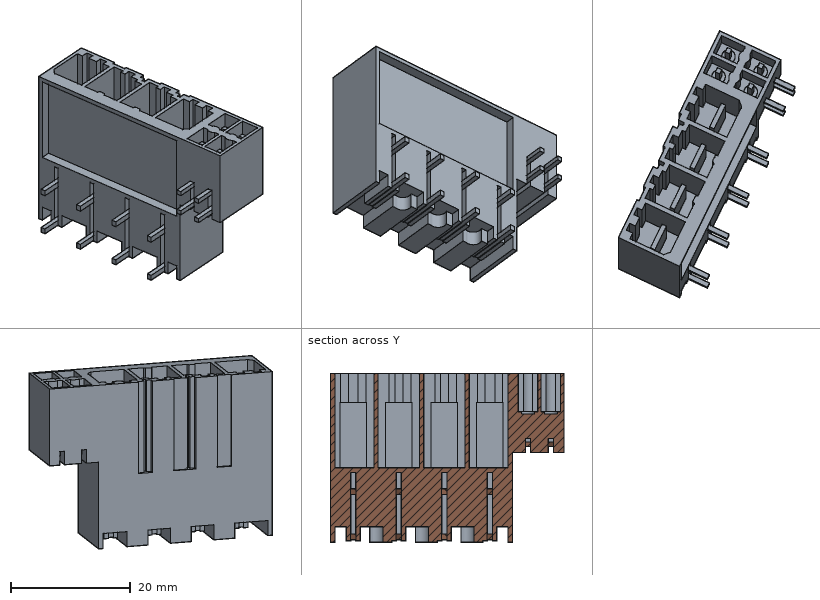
import cadquery as cq
import math

length = 39.07
depth = 11.35
height = 28.3
wall = 0.8

pole_count = 4
pole_pitch = 7.6
power_length = pole_count * pole_pitch
pole_centers = [pole_pitch * (i + 0.5) for i in range(pole_count)]

signal_bottom = 15.0
signal_pitch = pole_pitch / 2
signal_first_x = 33.05
signal_columns = [signal_first_x + signal_pitch * i for i in range(2)]
signal_front_y = 2.7
signal_rear_y = 8.67

label_bottom = 12.5
label_depth = 1.68

pocket_floor = label_bottom
pocket_front = 2.42
pocket_outer_half = 3.15
pocket_inner_half = 3.45
rear_groove = 10.7
rear_shelf = 9.65
end_outer_shelf = 9.55
end_inner_shelf = 9.8
end_groove_near = 0.82
end_groove_far = 2.1
end_corner_cut = 0.85
middle_left_shelf = 10.25
middle_left_step = 1.6
middle_groove_half = 0.65
middle_right_step = 2.05
middle_right_shelf = 9.03
coding_rib_width = 1.45
coding_rib_top_width = 1.05
coding_rib_height = 0.4

keyway_left = -0.45
keyway_right = 2.05
keyway_depth = 0.4
hook_left = -1.85
hook_slot_left = -1.0
hook_depth = 0.8
hook_slot_depth = 1.45
last_keyway_right = 0.63
keyway_bottom = pocket_floor

underside = 2.6
foot_bottom = 0.27
foot_width = 2.4
post_left = -1.05
post_width = 3.7
post_front = 1.65
post_arc_radius = 1.45
post_arc_left = -0.43
post_arc_right = 1.33

passage_top = 11.7
stock = 0.82
blade_width = 4.45
blade_front = 5.35
blade_back = blade_front + stock
blade_top = 23.45
tail_reach = 3.5
tail_height = 0.98
lower_tail_bottom = 0.43
upper_tail_bottom = 8.0

signal_pocket_width = 3.2
signal_pocket_front = 0.65
signal_pocket_depth = 4.38
signal_rear_pocket_front = depth - signal_pocket_front - signal_pocket_depth
signal_pocket_floor = 21.88
signal_bump_width = 1.55
signal_bump_height = 0.3
collar_diameter = 2.25
collar_depth = 0.4
pin_top = 27.05
front_pin_bottom = 19.85
rear_pin_bottom = 16.0
front_slot_top = front_pin_bottom + stock
through_slot_top = 17.35


def block(x0, x1, y0, y1, z0, z1):
    """Box between two opposite corners."""
    return cq.Workplane("XY").box(x1 - x0, y1 - y0, z1 - z0, centered=False).translate((x0, y0, z0))


def bar(x_center, width, y0, y1, z0, z1):
    """Box centered on an X position."""
    return block(x_center - width / 2, x_center + width / 2, y0, y1, z0, z1)


def prism(points, z0, z1):
    """Upright prism over a closed polygon."""
    return cq.Workplane("XY").workplane(offset=z0).polyline(points).close().extrude(z1 - z0)


def end_pocket(center, outward):
    """Pocket of the first or last pole; outward is -1 or +1, toward the end of the row."""
    outer = pocket_outer_half
    profile = [
        (outer, end_outer_shelf),
        (end_groove_far, end_outer_shelf),
        (end_groove_far, rear_groove),
        (end_groove_near, rear_groove),
        (end_groove_near, rear_shelf),
        (-end_groove_near, rear_shelf),
        (-end_groove_near, rear_groove),
        (-end_groove_far, rear_groove),
        (-end_groove_far, end_inner_shelf),
        (-pocket_inner_half, end_inner_shelf),
        (-pocket_inner_half, pocket_front),
        (outer - end_corner_cut, pocket_front),
        (outer, pocket_front + end_corner_cut),
    ]
    points = [(center + outward * x, y) for x, y in profile]
    return prism(points, pocket_floor, height)


def middle_pocket(center):
    """Pocket of an inner pole, with a stepped rear wall and a tapered rib on its front wall."""
    profile = [
        (pocket_inner_half, pocket_front),
        (pocket_inner_half, middle_right_shelf),
        (middle_right_step, middle_right_shelf),
        (middle_right_step, rear_shelf),
        (middle_groove_half, rear_shelf),
        (middle_groove_half, rear_groove),
        (-middle_groove_half, rear_groove),
        (-middle_groove_half, rear_shelf),
        (-middle_left_step, rear_shelf),
        (-middle_left_step, middle_left_shelf),
        (-pocket_inner_half, middle_left_shelf),
        (-pocket_inner_half, pocket_front),
    ]
    pocket = prism([(center + x, y) for x, y in profile], pocket_floor, height)
    rib = [
        (-coding_rib_width / 2, pocket_front),
        (-coding_rib_top_width / 2, pocket_front + coding_rib_height),
        (coding_rib_top_width / 2, pocket_front + coding_rib_height),
        (coding_rib_width / 2, pocket_front),
    ]
    return pocket.cut(prism([(center + x, y) for x, y in rib], pocket_floor, height))


def rounded_bump(center, wall_y, width, rise, z0):
    """Arc-shaped rib on a pocket wall; a negative rise points toward -Y."""
    return (
        cq.Workplane("XY")
        .workplane(offset=z0)
        .moveTo(center - width / 2, wall_y)
        .threePointArc((center, wall_y + rise), (center + width / 2, wall_y))
        .close()
        .extrude(height - z0)
    )


def back_keyways():
    """Three shallow keyways in the back face; the second and third start with a hooked slot."""
    cuts = []
    for i in range(1, pole_count):
        line = i * pole_pitch
        right = last_keyway_right if i == pole_count - 1 else keyway_right
        steps = [(keyway_left, right, keyway_depth)]
        if i > 1:
            steps.append((hook_left, hook_slot_left, hook_depth))
            steps.append((hook_slot_left, keyway_left, hook_slot_depth))
        for x0, x1, cut_depth in steps:
            cuts.append(block(line + x0, line + x1, depth - cut_depth, depth, keyway_bottom, height))
    return cuts


def post(line):
    """Post on the underside; a round hollow centered between two poles undercuts its front corner."""
    left = line + post_left
    right = left + post_width
    arc_center_y = post_front + math.sqrt(post_arc_radius ** 2 - post_arc_right ** 2)
    arc_left_y = arc_center_y + math.sqrt(post_arc_radius ** 2 - post_arc_left ** 2)
    return (
        cq.Workplane("XY")
        .moveTo(left, depth)
        .lineTo(left, arc_left_y)
        .lineTo(line + post_arc_left, arc_left_y)
        .threePointArc((line, arc_center_y + post_arc_radius), (line + post_arc_right, post_front))
        .lineTo(right, post_front)
        .lineTo(right, depth)
        .close()
        .extrude(underside)
    )


def contact_passage(center):
    """Slot for the tails of a power contact, open to the front and below, and a hole for its stem."""
    slot = bar(center, stock, 0, blade_back, 0, passage_top)
    return slot.union(bar(center, stock, blade_front, blade_back, passage_top, pocket_floor))


def signal_pocket(center, pin_y, front, bump_y, bump_rise):
    """Signal pocket with a bump on one wall and a round recess around the pin."""
    back = front + signal_pocket_depth
    pocket = bar(center, signal_pocket_width, front, back, signal_pocket_floor, height)
    pocket = pocket.cut(
        rounded_bump(center, bump_y, signal_bump_width, bump_rise, signal_pocket_floor)
    )
    collar = (
        cq.Workplane("XY")
        .workplane(offset=signal_pocket_floor - collar_depth)
        .center(center, pin_y)
        .circle(collar_diameter / 2)
        .extrude(collar_depth)
    )
    return pocket.union(collar)


def signal_passages(center):
    """Slots and pin holes of one signal column."""
    half = stock / 2
    front_slot = bar(center, stock, 0, signal_front_y + half, signal_bottom, front_slot_top)
    through_slot = bar(center, stock, 0, depth, signal_bottom, through_slot_top)
    cuts = [front_slot, through_slot]
    for pin_y in (signal_front_y, signal_rear_y):
        cuts.append(
            bar(center, stock, pin_y - half, pin_y + half, through_slot_top, signal_pocket_floor)
        )
    return cuts


def make_housing():
    """Housing with all pockets, passages, keyways, feet and posts."""
    body = block(0, power_length, 0, depth, underside, height)
    body = body.union(block(power_length, length, 0, depth, signal_bottom, height))

    body = body.union(block(0, wall, 0, depth, 0, underside))
    body = body.union(block(power_length - wall, power_length, 0, depth, 0, underside))
    for center in pole_centers:
        body = body.union(bar(center, foot_width, 0, blade_back, foot_bottom, underside))
    for i in range(1, pole_count):
        body = body.union(post(i * pole_pitch))

    body = body.cut(block(wall, power_length - wall, 0, label_depth, label_bottom, height - wall))

    body = body.cut(end_pocket(pole_centers[0], -1))
    body = body.cut(end_pocket(pole_centers[-1], 1))
    for center in pole_centers[1:-1]:
        body = body.cut(middle_pocket(center))
    for center in pole_centers:
        body = body.cut(contact_passage(center))
    for keyway in back_keyways():
        body = body.cut(keyway)

    front_pocket_back = signal_pocket_front + signal_pocket_depth
    for center in signal_columns:
        body = body.cut(
            signal_pocket(
                center, signal_front_y, signal_pocket_front, front_pocket_back, -signal_bump_height
            )
        )
        body = body.cut(
            signal_pocket(
                center, signal_rear_y, signal_rear_pocket_front, signal_rear_pocket_front, signal_bump_height
            )
        )
        for passage in signal_passages(center):
            body = body.cut(passage)
    return body


def make_power_contact(center):
    """Wide blade standing in the pocket, on a narrow stem with two solder tails."""
    contact = bar(center, blade_width, blade_front, blade_back, pocket_floor, blade_top)
    contact = contact.union(
        bar(center, stock, blade_front, blade_back, lower_tail_bottom, pocket_floor)
    )
    for z in (lower_tail_bottom, upper_tail_bottom):
        contact = contact.union(bar(center, stock, -tail_reach, blade_back, z, z + tail_height))
    return contact


def make_signal_pin(center, pin_y, bottom):
    """Square pin bent toward the front at its lower end."""
    half = stock / 2
    upright = bar(center, stock, pin_y - half, pin_y + half, bottom, pin_top)
    tail = bar(center, stock, -tail_reach, pin_y + half, bottom, bottom + stock)
    return upright.union(tail)


housing = make_housing()
power_contacts = [make_power_contact(center) for center in pole_centers]
signal_pins = []
for column in signal_columns:
    signal_pins.append(make_signal_pin(column, signal_front_y, front_pin_bottom))
    signal_pins.append(make_signal_pin(column, signal_rear_y, rear_pin_bottom))

result = cq.Compound.makeCompound(
    [
        housing.solids().val(),
        *[contact.solids().val() for contact in power_contacts],
        *[pin.solids().val() for pin in signal_pins],
    ]
)